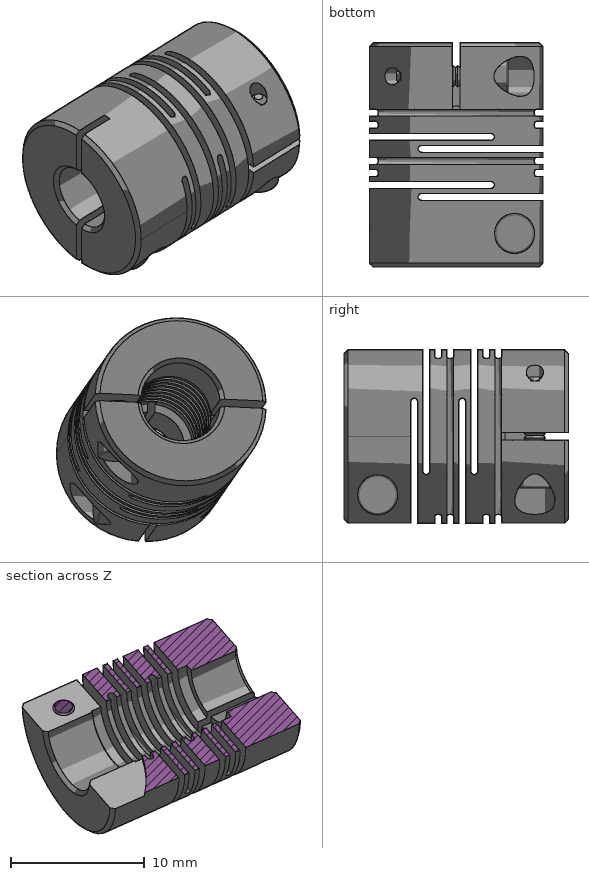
import cadquery as cq
import math

LENGTH = 16.8
OUTER_RADIUS = 6.5
EDGE_CHAMFER = 0.3
FRONT_BORE_RADIUS = 2.5
REAR_BORE_RADIUS = 3.0
RELIEF_RADIUS = 3.12
HUB_BORE_LENGTH = LENGTH / 4
HALF_LENGTH = LENGTH / 2
CUT_MARGIN = 0.84
PAST_BODY = OUTER_RADIUS + CUT_MARGIN

SLIT_SAW_RADIUS = 10.0
SLIT_WIDTH = 0.57
SLIT_RIM_DEPTH = 2.85

SLOT_SAW_RADIUS = 20.0
SLOT_WIDTH = 0.5
CYCLE_LENGTH = 3.6
SLOT_REACH = 2.85
OPEN_ANGLES = (0, 180, -90, 90)
SLOT_CYCLES = 2
SLOT_PITCH = CYCLE_LENGTH / len(OPEN_ANGLES)

SCREW_OFFSET = 4.37
SCREW_FROM_END = 2.52
HEAD_RADIUS = 1.5
HEAD_HEIGHT = 1.6
HEAD_FILLET = 0.1
HEAD_TOP = 3.86
THREAD_RADIUS = 0.8
ROOT_RADIUS = 0.64
THREAD_PITCH = 0.35
THREAD_TURNS = 10
TIP_END = -4.45
TIP_RADIUS = 0.32
SEAT = HEAD_TOP - HEAD_HEIGHT
TIP_CHAMFER = ROOT_RADIUS - TIP_RADIUS
THREAD_START = (SLIT_WIDTH + THREAD_PITCH) / 2
AXIS_TURN = cq.Vector(1, 0, -1)


def cylinder_y(radius, start, end):
    """Cylinder on the coupling axis between two Y positions."""
    return cq.Workplane("XZ", origin=(0, start, 0)).circle(radius).extrude(start - end)


def chamfered_bore(radius, end_face, inner_end):
    """Bore of one hub, chamfered where it meets the end face."""
    inward = math.copysign(EDGE_CHAMFER, inner_end - end_face)
    profile = [
        (0, end_face),
        (radius + EDGE_CHAMFER, end_face),
        (radius, end_face + inward),
        (radius, inner_end),
        (0, inner_end),
    ]
    return cq.Workplane("XY").polyline(profile).close().revolve(360, (0, 0, 0), (0, 1, 0))


def flexure_slot(y, angle):
    """Round-rimmed saw cut, open to the side set by the angle."""
    half_width = SLOT_WIDTH / 2
    flat_radius = SLOT_SAW_RADIUS - half_width
    half_chord = math.sqrt(OUTER_RADIUS**2 - SLOT_REACH**2)
    saw_center = math.sqrt(SLOT_SAW_RADIUS**2 - half_chord**2) - SLOT_REACH
    saw = (
        cq.Workplane("XY")
        .moveTo(0, -half_width)
        .lineTo(flat_radius, -half_width)
        .threePointArc((SLOT_SAW_RADIUS, 0), (flat_radius, half_width))
        .lineTo(0, half_width)
        .close()
        .revolve(360, (0, 0, 0), (0, 1, 0))
    )
    return saw.translate((saw_center, y, 0)).rotate((0, 0, 0), (0, 1, 0), angle)


def end_slit():
    """Clamping slit across the front hub: flat floor below the axis, saw arc above it."""
    arc_rise = SLIT_SAW_RADIUS - math.sqrt(SLIT_SAW_RADIUS**2 - OUTER_RADIUS**2)
    floor_y = SLIT_RIM_DEPTH + arc_rise - HALF_LENGTH
    saw_y = floor_y - SLIT_SAW_RADIUS
    diagonal = SLIT_SAW_RADIUS * math.sqrt(0.5)
    return (
        cq.Workplane("YZ")
        .moveTo(saw_y, -PAST_BODY)
        .lineTo(floor_y, -PAST_BODY)
        .lineTo(floor_y, 0)
        .threePointArc((saw_y + diagonal, diagonal), (saw_y, SLIT_SAW_RADIUS))
        .close()
        .extrude(SLIT_WIDTH / 2, both=True)
    )


def at_front(shape):
    """Move a shape from the X axis to the front screw's place."""
    return shape.translate((0, SCREW_FROM_END - HALF_LENGTH, -SCREW_OFFSET))


def at_rear(front_shape):
    """Carry a front hub shape to the rear hub."""
    return front_shape.rotate((0, 0, 0), AXIS_TURN.toTuple(), 180)


def make_screw():
    """Cap screw along X, head toward +X, with its thread as V-shaped rings."""
    outline = [(HEAD_TOP, 0), (HEAD_TOP, HEAD_RADIUS), (SEAT, HEAD_RADIUS), (SEAT, THREAD_RADIUS)]
    for turn in range(THREAD_TURNS):
        crest = THREAD_START - turn * THREAD_PITCH
        outline.append((crest, THREAD_RADIUS))
        outline.append((crest - THREAD_PITCH / 2, ROOT_RADIUS))
    outline += [(TIP_END + TIP_CHAMFER, ROOT_RADIUS), (TIP_END, TIP_RADIUS), (TIP_END, 0)]
    screw = cq.Workplane("XY").polyline(outline).close().revolve(360, (0, 0, 0), (1, 0, 0))
    return at_front(screw.faces(">X").edges().fillet(HEAD_FILLET))


def make_screw_openings():
    """Head recess out to +X and tapped hole out to -X for the front screw."""
    recess = cq.Workplane("YZ", origin=(SEAT, 0, 0)).circle(HEAD_RADIUS).extrude(PAST_BODY)
    tapped_hole = cq.Workplane("YZ").circle(ROOT_RADIUS).extrude(-PAST_BODY)
    return at_front(recess.union(tapped_hole))


def make_coupling(screws):
    """Slotted coupling body, recessed for the clamp screws."""
    body = cylinder_y(OUTER_RADIUS, -HALF_LENGTH, HALF_LENGTH).edges().chamfer(EDGE_CHAMFER)

    relief_end = HALF_LENGTH - HUB_BORE_LENGTH
    body = body.cut(cylinder_y(RELIEF_RADIUS, -relief_end, relief_end))
    body = body.cut(chamfered_bore(FRONT_BORE_RADIUS, -HALF_LENGTH, -relief_end))
    body = body.cut(chamfered_bore(REAR_BORE_RADIUS, HALF_LENGTH, relief_end))

    angles = OPEN_ANGLES * SLOT_CYCLES
    first_y = SLOT_PITCH * (len(angles) - 1) / 2
    for index, angle in enumerate(angles):
        body = body.cut(flexure_slot(first_y - index * SLOT_PITCH, angle))

    for front_cutter in (end_slit(), make_screw_openings()):
        body = body.cut(front_cutter).cut(at_rear(front_cutter))

    for screw in screws:
        body = body.cut(screw)
    return body


front_screw = make_screw()
screws = [front_screw, at_rear(front_screw)]
coupling = make_coupling(screws)

result = cq.Compound.makeCompound([body.solids().val() for body in (coupling, *screws)])